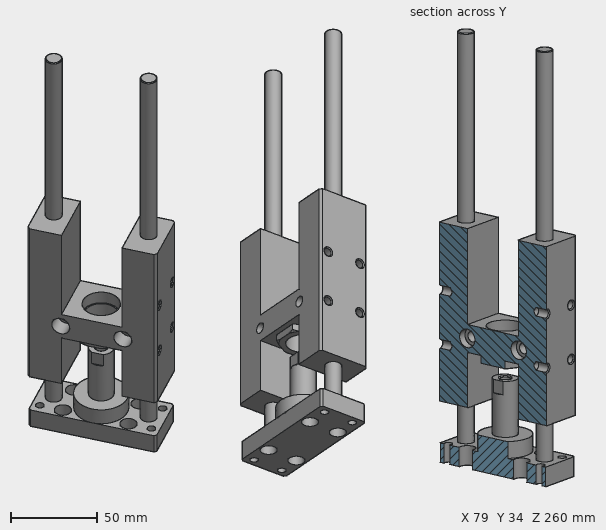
import cadquery as cq
import math

plate_length = 78.0
plate_depth = 32.0
plate_height = 12.0
plate_corner_chamfer = 1.3

rod_diameter = 10.0
rod_spacing = 58.0
rod_top = 260.0
rod_tip_chamfer = 0.5

boss_diameter = 32.0
boss_top = 22.0
spindle_diameter = 15.0
spindle_top = 56.0
spindle_flat_gap = 13.3
spindle_flat_height = 8.0
spindle_hole_diameter = 6.8
spindle_hole_depth = 13.0
spindle_hole_mouth = 8.0

screw_hole_diameter = 10.0
screw_hole_spacing = 40.0
pin_hole_diameter = 5.0
pin_hole_spacing = 68.0
plate_hole_row_spacing = 20.0

housing_length = 79.0
housing_depth = 34.0
housing_bottom = 37.0
housing_height = 108.5
housing_corner_chamfer = 1.5
housing_top = housing_bottom + housing_height
block_gap = 37.0
bridge_bottom = 70.2
bridge_top = 87.4

collar_corner_diameter = 31.2
collar_height = 4.7
collar_chamfer = 1.5
collar_chamfer_rise = 1.0
bore_diameter = 20.3
bore_recess_diameter = 22.0
bore_recess_depth = 7.8

mount_hole_diameter = 6.5
mount_recess_diameter = 11.0
mount_recess_depth = 10.5
mount_hole_spacing = 38.0
mount_hole_z = (bridge_bottom + bridge_top) / 2

side_hole_diameter = 5.0
side_hole_mouth = 6.2
side_hole_depth = 7.8
side_hole_y_spacing = 23.0
side_hole_low_z = 71.8
side_hole_z_spacing = 32.8

drill_tip_half_angle = 59.0


def cylinder(diameter, bottom, top, x=0.0, y=0.0):
    """Upright cylinder between two heights."""
    return cq.Workplane("XY", origin=(x, y, bottom)).circle(diameter / 2).extrude(top - bottom)


def drilled_hole(diameter, mouth_diameter, depth):
    """Blind hole along +Z from the origin, with a 45-degree mouth and a conical drill tip."""
    radius = diameter / 2
    mouth_radius = mouth_diameter / 2
    tip_length = radius / math.tan(math.radians(drill_tip_half_angle))
    profile = [
        (0, 0),
        (mouth_radius, 0),
        (radius, mouth_radius - radius),
        (radius, depth),
        (0, depth + tip_length),
    ]
    return cq.Workplane("XZ").polyline(profile).close().revolve(360, (0, 0, 0), (0, 1, 0))


def make_carriage():
    plate = (
        cq.Workplane("XY")
        .box(plate_length, plate_depth, plate_height, centered=(True, True, False))
        .edges("|Z")
        .chamfer(plate_corner_chamfer)
    )
    for spacing, diameter in (
        (screw_hole_spacing, screw_hole_diameter),
        (pin_hole_spacing, pin_hole_diameter),
    ):
        plate = (
            plate.faces(">Z")
            .workplane(origin=(0, 0, plate_height))
            .rarray(spacing, plate_hole_row_spacing, 2, 2)
            .hole(diameter)
        )

    spindle = cylinder(spindle_diameter, plate_height, spindle_top)
    for side in (-1, 1):
        flat_cutter = cq.Workplane("XY").box(
            spindle_diameter, spindle_diameter, spindle_flat_height
        )
        flat_y = side * (spindle_flat_gap + spindle_diameter) / 2
        spindle = spindle.cut(flat_cutter.translate((0, flat_y, spindle_top - spindle_flat_height / 2)))
    end_hole = drilled_hole(spindle_hole_diameter, spindle_hole_mouth, spindle_hole_depth)
    end_hole = end_hole.rotate((0, 0, 0), (1, 0, 0), 180).translate((0, 0, spindle_top))
    spindle = spindle.cut(end_hole)

    carriage = plate.union(cylinder(boss_diameter, plate_height, boss_top)).union(spindle)
    for side in (-1, 1):
        rod = cylinder(rod_diameter, plate_height, rod_top, x=side * rod_spacing / 2)
        carriage = carriage.union(rod.faces(">Z").chamfer(rod_tip_chamfer))
    return carriage


def make_collar():
    """Hexagonal collar under the bridge, its lower corners turned off by a cone."""
    radius = collar_corner_diameter / 2
    bottom = bridge_bottom - collar_height
    hexagon = (
        cq.Workplane("XY", origin=(0, 0, bottom))
        .polygon(6, collar_corner_diameter)
        .extrude(collar_height)
    )
    profile = [
        (0, bottom),
        (radius - collar_chamfer, bottom),
        (radius, bottom + collar_chamfer_rise),
        (radius, bridge_bottom),
        (0, bridge_bottom),
    ]
    turned = cq.Workplane("XZ").polyline(profile).close().revolve(360, (0, 0, 0), (0, 1, 0))
    return hexagon.intersect(turned)


def make_housing():
    block = (
        cq.Workplane("XY", origin=(0, 0, housing_bottom))
        .box(housing_length, housing_depth, housing_height, centered=(True, True, False))
        .edges("|Z")
        .chamfer(housing_corner_chamfer)
    )
    for bottom, top in ((housing_bottom, bridge_bottom), (bridge_top, housing_top)):
        gap = cq.Workplane("XY", origin=(0, 0, bottom)).box(
            block_gap, housing_depth, top - bottom, centered=(True, True, False)
        )
        block = block.cut(gap)
    housing = block.union(make_collar())

    housing = housing.cut(cylinder(bore_diameter, bridge_bottom - collar_height, bridge_top))
    housing = housing.cut(
        cylinder(bore_recess_diameter, bridge_top - bore_recess_depth, bridge_top)
    )

    for side in (-1, 1):
        rod_x = side * rod_spacing / 2
        housing = housing.cut(cylinder(rod_diameter, housing_bottom, housing_top, x=rod_x))

        mount_x = side * mount_hole_spacing / 2
        mount_plane = cq.Workplane("XZ", origin=(mount_x, -housing_depth / 2, mount_hole_z))
        housing = housing.cut(mount_plane.circle(mount_hole_diameter / 2).extrude(-housing_depth))
        housing = housing.cut(
            mount_plane.circle(mount_recess_diameter / 2).extrude(-mount_recess_depth)
        )

        side_hole = drilled_hole(side_hole_diameter, side_hole_mouth, side_hole_depth)
        side_hole = side_hole.rotate((0, 0, 0), (0, 1, 0), -side * 90)
        for y in (-side_hole_y_spacing / 2, side_hole_y_spacing / 2):
            for z in (side_hole_low_z, side_hole_low_z + side_hole_z_spacing):
                housing = housing.cut(side_hole.translate((side * housing_length / 2, y, z)))
    return housing


carriage = make_carriage()
housing = make_housing()

result = cq.Compound.makeCompound([carriage.val(), housing.val()])